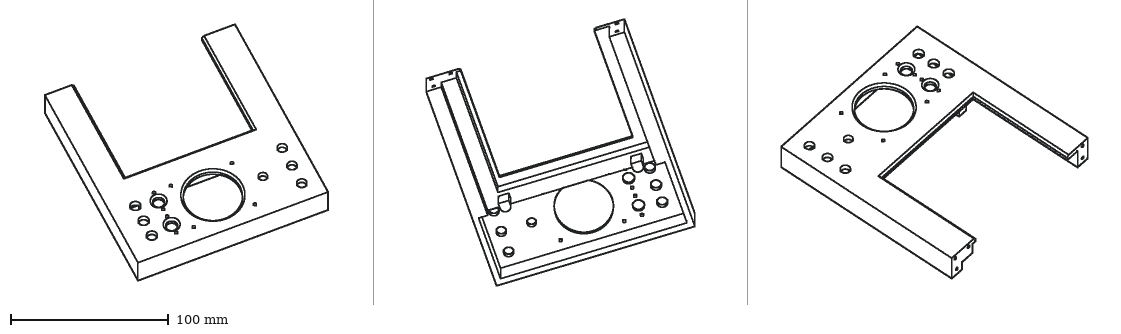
import cadquery as cq

LENGTH = 142.5
WIDTH = 132.2
BODY_HEIGHT = 20.0
TOTAL_HEIGHT = 24.0
PLATE = 4.0
ARM_WALL = 10.1
PANEL_WALL = 4.0
EDGE_CHAMFER = 1.5
OVERCUT = 1.4

OPENING_LENGTH = 78.2
OPENING_BACK = 43.0
OPENING_FRONT = -45.9

RIB_DEPTH = 8.8
BACK_RIB_SETBACK = 2.8
CROSS_RIB_SETBACK = 5.8
CROSS_RIB_WIDTH = 10.0
CROSS_RIB_START = OPENING_LENGTH + CROSS_RIB_SETBACK
CROSS_RIB_END = CROSS_RIB_START + CROSS_RIB_WIDTH

PEG_WIDTH = 7.0
PEG_START = 86.6
PEG_MIDDLE = -1.1
PEG_SPACING = 88.4

PANEL_X = 114.4
SCREW_DIAMETER = 2.0

BACK_ROW_DIAMETER = 6.5
BACK_ROW_Y = 53.7
BACK_ROW_PITCH = 15.0

SINGLE_HOLE_DIAMETER = 6.0
SINGLE_HOLE_Y = 33.5

FRONT_ROW_DIAMETER = 7.0
FRONT_ROW_Y = -49.5
FRONT_ROW_PITCH = 12.5

WINDOW_DIAMETER = 37.5
WINDOW_Y = -1.3
WINDOW_SCREW_SPACING_X = 35.0
WINDOW_SCREW_SPACING_Y = 42.5

SOCKET_DIAMETER = 7.5
SOCKET_Y = -34.5
SOCKET_SPACING = 20.0
SOCKET_SCREW_SPACING = 14.0

END_HOLE_DEPTH = 10.0
UPPER_END_Z = -3.4
LOWER_END_Z = -15.0
END_HOLE_DIAMETER = 2.0
END_HOLES = [
    (62.5, UPPER_END_Z),
    (49.7, UPPER_END_Z),
    (61.1, LOWER_END_Z),
    (-61.1, UPPER_END_Z),
    (-61.1, LOWER_END_Z),
]


def block(x_range, y_range, z_range):
    """Box between the given limits on each axis."""
    lows, highs = zip(x_range, y_range, z_range)
    sizes = [high - low for low, high in zip(lows, highs)]
    return cq.Workplane("XY").box(*sizes, centered=False).translate(lows)


def hollow_body():
    """Top plate with walls on three sides, open below and towards -X."""
    outside = block((0, LENGTH), (-WIDTH / 2, WIDTH / 2), (-BODY_HEIGHT, 0))
    hollow_z = (-BODY_HEIGHT - OVERCUT, -PLATE)
    arm_y = WIDTH / 2 - ARM_WALL
    panel_y = WIDTH / 2 - PANEL_WALL
    between_arms = block((-OVERCUT, CROSS_RIB_END), (-arm_y, arm_y), hollow_z)
    under_panel = block((CROSS_RIB_END, LENGTH - PANEL_WALL), (-panel_y, panel_y), hollow_z)
    return outside.cut(between_arms).cut(under_panel)


def opening():
    """Opening between the arms, chamfered along its top edges."""
    middle_y = (OPENING_BACK + OPENING_FRONT) / 2
    width = OPENING_BACK - OPENING_FRONT
    through = block((-OVERCUT, OPENING_LENGTH), (OPENING_FRONT, OPENING_BACK), (-PLATE - OVERCUT, OVERCUT))
    lower_length = OPENING_LENGTH + 2 * EDGE_CHAMFER
    flare = (
        cq.Workplane("XY", origin=(OPENING_LENGTH - lower_length / 2, middle_y, -EDGE_CHAMFER))
        .rect(lower_length, width)
        .workplane(offset=EDGE_CHAMFER)
        .rect(lower_length + 2 * EDGE_CHAMFER, width + 2 * EDGE_CHAMFER)
        .loft(ruled=True)
    )
    return through.union(flare)


def ribs():
    """Rib inside the back arm and cross rib behind the opening."""
    arm_y = WIDTH / 2 - ARM_WALL
    rib_z = (-PLATE - RIB_DEPTH, -PLATE)
    back_rib = block((0, CROSS_RIB_END), (OPENING_BACK + BACK_RIB_SETBACK, arm_y), rib_z)
    cross_rib = block((CROSS_RIB_START, CROSS_RIB_END), (-arm_y, arm_y), rib_z)
    return back_rib.union(cross_rib)


def peg(y):
    """Peg hanging from the cross rib, with a half-round rear side."""
    radius = PEG_WIDTH / 2
    top_z = -PLATE - RIB_DEPTH
    return (
        cq.Workplane("XY", origin=(PEG_START + radius, y, -TOTAL_HEIGHT))
        .moveTo(0, -radius)
        .threePointArc((radius, 0), (0, radius))
        .lineTo(-radius, radius)
        .lineTo(-radius, -radius)
        .close()
        .extrude(top_z + TOTAL_HEIGHT)
    )


def plate_holes(points, diameter):
    """Round cutters through the plate only."""
    depth = PLATE + OVERCUT
    return cq.Workplane("XY").pushPoints(points).circle(diameter / 2).extrude(-depth)


def chamfered_hole(x, y, diameter):
    """Round cutter through the plate, widened by a chamfer at the top face."""
    radius = diameter / 2
    top_centre = cq.Vector(x, y, 0)
    down = cq.Vector(0, 0, -1)
    cone = cq.Solid.makeCone(radius + EDGE_CHAMFER, radius, EDGE_CHAMFER, top_centre, down)
    return plate_holes([(x, y)], diameter).union(cq.Workplane(cone))


def row(y, pitch):
    """Three points along X about the hole line."""
    return [(PANEL_X + step * pitch, y) for step in (-1, 0, 1)]


def end_holes():
    """Blind round cutters entering the arm ends along +X."""
    return cq.Workplane("YZ").pushPoints(END_HOLES).circle(END_HOLE_DIAMETER / 2).extrude(END_HOLE_DEPTH)


result = hollow_body().union(ribs())
for side in (-1, 1):
    result = result.union(peg(PEG_MIDDLE + side * PEG_SPACING / 2))
result = result.cut(opening())

result = result.cut(plate_holes(row(BACK_ROW_Y, BACK_ROW_PITCH), BACK_ROW_DIAMETER))
result = result.cut(plate_holes([(PANEL_X, SINGLE_HOLE_Y)], SINGLE_HOLE_DIAMETER))
result = result.cut(plate_holes(row(FRONT_ROW_Y, FRONT_ROW_PITCH), FRONT_ROW_DIAMETER))

result = result.cut(chamfered_hole(PANEL_X, WINDOW_Y, WINDOW_DIAMETER))
window_screws = [
    (PANEL_X + side_x * WINDOW_SCREW_SPACING_X / 2, WINDOW_Y + side_y * WINDOW_SCREW_SPACING_Y / 2)
    for side_x in (-1, 1)
    for side_y in (-1, 1)
]
result = result.cut(plate_holes(window_screws, SCREW_DIAMETER))

for side in (-1, 1):
    socket_x = PANEL_X + side * SOCKET_SPACING / 2
    result = result.cut(chamfered_hole(socket_x, SOCKET_Y, SOCKET_DIAMETER))
    socket_screws = [(socket_x + end * SOCKET_SCREW_SPACING / 2, SOCKET_Y) for end in (-1, 1)]
    result = result.cut(plate_holes(socket_screws, SCREW_DIAMETER))

result = result.cut(end_holes())